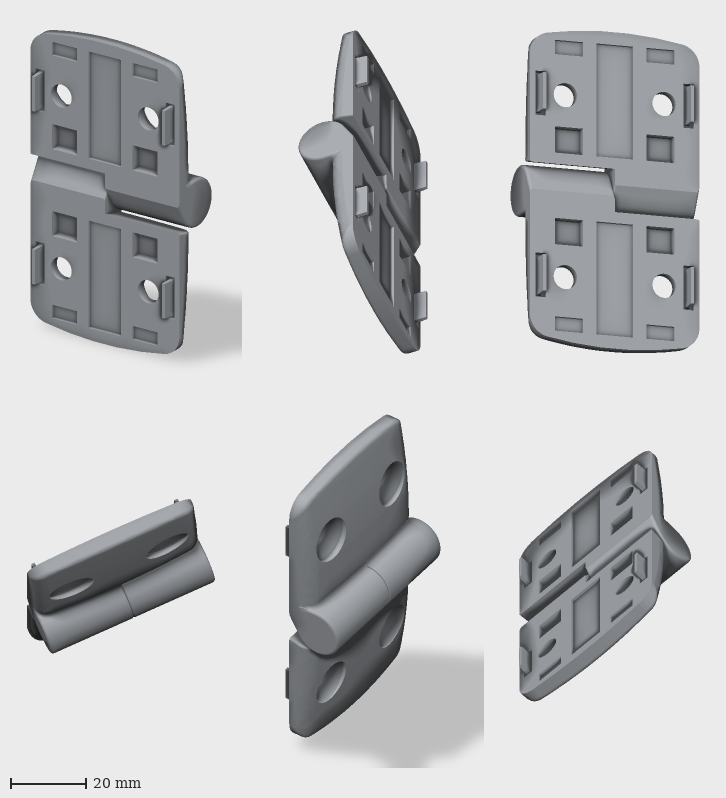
import cadquery as cq
import math


width = 48.0
height = 87.0
half_width = width / 2
half_height = height / 2
end_radius = 104.4
corner_radius = 6.0
crown_height = 7.9
crown_apex_z = -8.7
crown_long_radius = 174.0
crown_cross_radius = 243.6
side_rounding = 4.0
end_rounding = 1.2
end_overrun = 4.35

free_edge_at_mount = 5.9
free_edge_at_crown = 7.8
free_edge_rounding = 0.5

barrel_radius = 7.0
barrel_axis_y = 8.9
barrel_edge_rounding = 0.5
barrel_root = 1.5
barrel_fillet = 0.8
plate_under_barrel = 6.4
plate_wall = 3.05

hole_x = 14.0
hole_z = 25.0
hole_diameter = 6.6
sink_diameter = 12.6
sink_angle = 90.0
sink_floor = 5.7

pocket_inner_z = 9.0
pocket_outer_z = 39.9
centre_pocket_width = 10.4
side_pocket_width = 8.0
side_pocket_x = 13.0
small_pocket_height = 3.9
large_pocket_height = 7.2
shallow_depth = 1.05
deep_depth = 3.05

recess_x = 21.0
fin_projection = 3.05
fin_thickness = 1.0
fin_inner_x = 20.45
fin_length = 10.0
fin_draft = 0.3
recess_width = 3.0
recess_length = 12.1
recess_depth = 2.0

sides = (-1, 1)

tolerance = 0.04


def arc_drop(radius, reach):
    """Fall of an arc from its apex at a distance from the apex."""
    return radius - math.sqrt(radius**2 - reach**2)


end_corner_z = -half_height + arc_drop(end_radius, half_width)


def crowned_bar():
    """Bar with a doubly curved crown and rounded long sides, longer than the leaf."""
    far_z = -half_height - end_overrun
    far_drop = arc_drop(crown_long_radius, far_z - crown_apex_z)
    revolve_axis_y = crown_height - crown_cross_radius
    crown = (
        cq.Workplane("YZ")
        .moveTo(revolve_axis_y, 0)
        .lineTo(crown_height - arc_drop(crown_long_radius, crown_apex_z), 0)
        .threePointArc(
            (crown_height, crown_apex_z),
            (crown_height - far_drop, far_z),
        )
        .lineTo(revolve_axis_y, far_z)
        .close()
        .revolve(360, (revolve_axis_y, 0), (revolve_axis_y, 1))
    )
    block = cq.Workplane("XY").box(width, 2 * crown_height, -far_z, centered=(True, False, False))
    bar = crown.intersect(block.translate((0, 0, far_z)))
    return bar.faces("|X").edges(">Y").fillet(side_rounding)


def leaf_outline():
    """Prism with the bowed outer end and the round corners."""
    return (
        cq.Workplane("XZ")
        .moveTo(-half_width, 0)
        .lineTo(-half_width, end_corner_z)
        .threePointArc((0, -half_height), (half_width, end_corner_z))
        .lineTo(half_width, 0)
        .close()
        .extrude(-2 * crown_height)
        .edges("|Y")
        .edges("<Z")
        .fillet(corner_radius)
    )


def barrel_clearance():
    """Space above the leaning free edge on the +X half, and above the barrel's web on the -X half."""
    free_half = (
        cq.Workplane("YZ")
        .polyline(
            [
                (0, 0),
                (0, -free_edge_at_mount),
                (crown_height, -free_edge_at_crown),
                (crown_height, 0),
            ]
        )
        .close()
        .extrude(half_width)
    )
    web_half = cq.Workplane("XY").box(half_width, crown_height, plate_under_barrel, centered=False)
    return free_half.union(web_half.translate((-half_width, 0, -plate_under_barrel)))


def plate():
    """Crowned plate with rounded long sides and a smaller rounding around its outer end."""
    sharp = crowned_bar().intersect(leaf_outline())
    end_zone = cq.selectors.BoxSelector(
        (-half_width, tolerance, -height), (half_width, crown_height, end_corner_z + corner_radius)
    )
    rounded = sharp.edges(end_zone).edges("not |Y").fillet(end_rounding)
    trimmed = rounded.cut(barrel_clearance())
    free_edge_zone = cq.selectors.BoxSelector(
        (tolerance, tolerance, -free_edge_at_crown - tolerance),
        (half_width + tolerance, crown_height, 0),
    )
    return trimmed.edges(free_edge_zone).fillet(free_edge_rounding)


def sharp_barrel():
    """Half-width knuckle: round around the hinge axis, with a tangent web to the mounting face."""
    root_distance = math.hypot(barrel_axis_y, barrel_root)
    tangent_length = math.sqrt(root_distance**2 - barrel_radius**2)
    tangent_angle = math.atan2(barrel_root, barrel_axis_y) + math.asin(barrel_radius / root_distance)
    tangent_point = (
        tangent_length * math.cos(tangent_angle),
        tangent_length * math.sin(tangent_angle) - barrel_root,
    )
    return (
        cq.Workplane("YZ")
        .moveTo(0, -barrel_root)
        .lineTo(*tangent_point)
        .threePointArc((barrel_axis_y + barrel_radius, 0), (barrel_axis_y, -barrel_radius))
        .lineTo(0, -barrel_radius)
        .close()
        .extrude(-half_width)
    )


def barrel_edge_trim():
    """Slivers that rounding takes off the barrel ends, except where the plate covers them."""
    rounded = sharp_barrel().faces("|X").edges("not <Y").fillet(barrel_edge_rounding)
    outer_cover = cq.Workplane("XY").box(half_width, plate_wall, barrel_edge_rounding, centered=False)
    inner_cover = cq.Workplane("XY").box(barrel_edge_rounding, crown_height, barrel_edge_rounding, centered=False)
    return (
        sharp_barrel()
        .cut(rounded)
        .cut(outer_cover.translate((-half_width, 0, -barrel_radius)))
        .cut(inner_cover.translate((-barrel_edge_rounding, 0, -barrel_radius)))
    )


def solid_leaf():
    """Plate and barrel in one, with a concave fillet between them and rounded barrel ends."""
    joined = plate().union(sharp_barrel())
    junction_zone = cq.selectors.BoxSelector(
        (-half_width, crown_height / 2, -barrel_radius - tolerance),
        (-tolerance, crown_height + tolerance, -barrel_radius + tolerance),
    )
    return joined.edges(junction_zone).fillet(barrel_fillet).cut(barrel_edge_trim())


def screw_holes():
    """Countersunk through holes, each sunk further by a straight-walled recess."""
    sink_radius = sink_diameter / 2
    hole_radius = hole_diameter / 2
    cone_depth = (sink_radius - hole_radius) / math.tan(math.radians(sink_angle / 2))
    profile = (
        cq.Workplane("XY")
        .polyline(
            [
                (0, 0),
                (hole_radius, 0),
                (hole_radius, sink_floor - cone_depth),
                (sink_radius, sink_floor),
                (sink_radius, barrel_axis_y),
                (0, barrel_axis_y),
            ]
        )
        .close()
        .revolve(360, (0, 0), (0, 1))
    )
    holes = cq.Workplane("XY")
    for side in sides:
        holes = holes.add(profile.translate((side * hole_x, 0, -hole_z)))
    return holes.combine()


def recess(x, top_z, size_x, size_z, depth):
    """Rectangular block sunk into the mounting face, centred on x and reaching down from top_z."""
    block = cq.Workplane("XY").box(size_x, depth, size_z, centered=(True, False, False))
    return block.translate((x, 0, top_z - size_z))


def pockets():
    """Shallow centre pocket, a deep and a shallow pocket on each side, and the fin recesses."""
    centre_height = pocket_outer_z - pocket_inner_z
    small_top_z = small_pocket_height - pocket_outer_z
    recess_top_z = recess_length / 2 - hole_z
    cutters = recess(0, -pocket_inner_z, centre_pocket_width, centre_height, shallow_depth)
    for side in sides:
        x = side * side_pocket_x
        deep = recess(x, -pocket_inner_z, side_pocket_width, large_pocket_height, deep_depth)
        shallow = recess(x, small_top_z, side_pocket_width, small_pocket_height, shallow_depth)
        fin_recess = recess(side * recess_x, recess_top_z, recess_width, recess_length, recess_depth)
        cutters = cutters.union(deep).union(shallow).union(fin_recess)
    return cutters


def fin(side):
    """Fin whose outer side and far end lean inward from the recess floor to the tip."""
    inner_x = side * fin_inner_x
    near_z = fin_length / 2 - hole_z
    sections = cq.Workplane("XZ", origin=(0, recess_depth, 0))
    for draft, step in ((fin_draft, 0), (0, fin_projection + recess_depth)):
        outer_x = inner_x + side * (fin_thickness + draft)
        far_z = near_z - fin_length - draft
        sections = (
            sections.workplane(offset=step)
            .polyline([(inner_x, near_z), (outer_x, near_z), (outer_x, far_z), (inner_x, far_z)])
            .close()
        )
    return sections.loft(ruled=True)


def leaf():
    """Complete leaf with its holes, pockets and fins."""
    body = solid_leaf().cut(screw_holes()).cut(pockets())
    for side in sides:
        body = body.union(fin(side))
    return body


lower_leaf = leaf()
upper_leaf = lower_leaf.rotate((0, 0, 0), (0, 1, 0), 180)

result = cq.Compound.makeCompound([lower_leaf.val(), upper_leaf.val()])